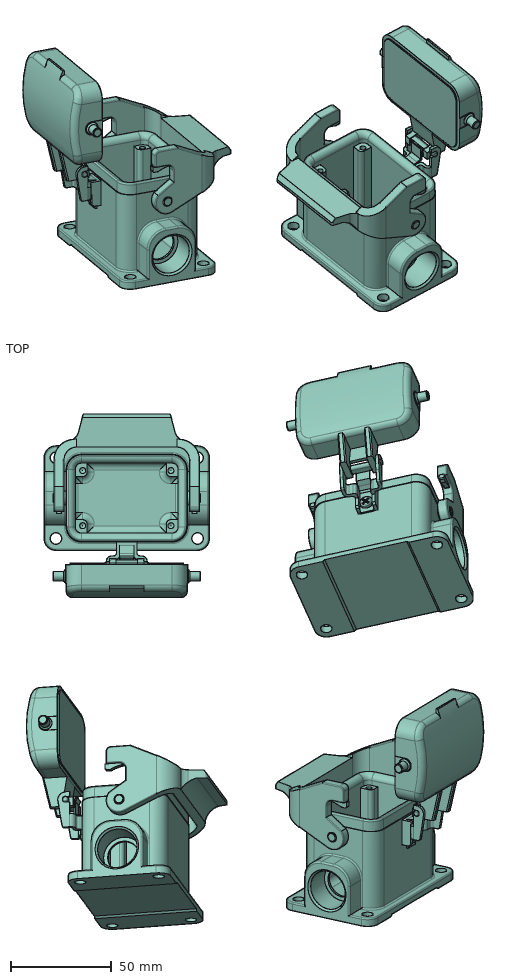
import cadquery as cq
import math

NEARLY_ALL = 0.98
SELECT_MARGIN = 0.1

FLANGE_X, FLANGE_Y, FLANGE_Z = 82.0, 51.9, 4.3
FLANGE_CORNER = 6.0
FLANGE_EDGE = 0.7
RELIEF_TOP, RELIEF_BASE, RELIEF_Z = 42.6, 44.8, 1.0
MOUNT_X, MOUNT_Y, MOUNT_DIA = 35.1, 20.0, 5.6

BODY_X, BODY_Y, BODY_TOP = 60.1, 43.5, 45.7
BODY_CORNER = 7.7
RIM_INSET = 0.3
RIM_TOP = 51.6
RIM_OUTER_EDGE, RIM_INNER_EDGE = 0.8, 3.3

CAVITY_X, CAVITY_Y = 50.9, 34.6
CAVITY_CORNER = 3.1
CAVITY_FLOOR = 4.4
FLOOR_ROUND, END_WALL_ROUND = 3.5, 1.2

POST_HOLE_X, POST_HOLE_Y = 21.9, 13.7
POST_X, POST_Y = 5.8, 6.7
POST_CORNER = 2.2
POST_TOP = BODY_TOP
POST_HOLE_DIA, POST_HOLE_DEPTH = 3.0, 6.6
POST_HOLE_POINT = 0.9

PORT_HALF_WIDTH, PORT_TOP, PORT_CORNER = 13.2, 29.3, 9.8
PORT_EDGE = 0.9
PORT_AXIS_Z, PORT_LEDGE = 14.6, 1.3
PORT_CHAMFER_DIA, PORT_BORE_DIA, CABLE_BORE_DIA = 22.1, 20.0, 16.0
WALL_FILLET = 0.8

PIVOT_Z = 41.5
PIVOT_DIA, PIVOT_TIP_DIA, PIVOT_SEAT_DIA = 5.0, 4.0, 7.0
PIVOT_TIP_X = 36.5
LEVER_INNER_X, LEVER_OUTER_X = 31.0, 36.1
LEVER_INNER_Y, LEVER_OUTER_Y = 25.2, 29.2
LEVER_BEND, LEVER_INNER_BEND = 10.3, 6.1
LEVER_END_RADIUS = 6.7
LEVER_END_ANGLE = 142.0
LEVER_TOP, LEVER_CREST_Y = 69.4, 5.7
HOOK_END_Y, HOOK_CORNER, HOOK_UNDERSIDE = -6.7, 2.3, 60.9
THROAT_Y, THROAT_RADIUS, THROAT_BOTTOM = 3.3, 3.5, 51.4
CATCH_BOTTOM, CATCH_TIP_Y, CATCH_TIP_CHAMFER = 57.9, -7.5, 0.5
CATCH_ROOT_Y, CATCH_ROOT_Z = 1.6, 60.0
CATCH_CURVE = [(-1.6, 59.2), (-4.7, CATCH_BOTTOM)]
LEVER_EDGE = 0.4
BACK_WALL_FLAT_X = 24.9
HANDLE_TOP, HANDLE_BOTTOM, HANDLE_ROOT_Z = 58.4, 54.1, 47.5
HANDLE_TIP_Y, HANDLE_TIP_Z, HANDLE_TOP_END_Y = 41.7, 55.7, 39.9
HANDLE_ROOT_X, HANDLE_TIP_X, HANDLE_TIP_CORNER = 30.1, 21.6, 1.1
HANDLE_FLARE_Y = 27.7
HANDLE_FLARE_CURVE = [(26.0, 29.5), (24.0, 32.2)]
HANDLE_UNDERSIDE_CURVE = [(32.0, 51.7), (36.6, HANDLE_BOTTOM)]
CATCH_INNER_X, CATCH_OUTER_X = 32.3, 34.8

COVER_X, COVER_BOTTOM, COVER_TOP = 60.1, 64.7, 107.1
COVER_CORNER = 7.7
COVER_BACK, COVER_RIM, COVER_FRONT = -32.9, -45.4, -49.3
COVER_EDGE = 3.3
SEAL_LIP_Y, SEAL_LIP_INSET = 0.7, 2.0
TAB_X, TAB_TOP, TAB_BACK = 17.0, 109.3, -43.5
PEG_Y, PEG_Z = -38.7, 85.8
PEG_DIA, PEG_ROOT_DIA, PEG_PAD_WIDTH = 4.8, 6.5, 7.0
PEG_TIP_X, PEG_ROOT_LENGTH, PEG_PAD_HEIGHT = 36.6, 1.3, 0.3
PEG_CHAMFER = 0.4

HINGE_Y, HINGE_Z, HINGE_PIN_DIA = -33.3, 52.3, 3.0
HINGE_PIN_LENGTH, HINGE_PIN_EDGE = 21.9, 0.4
HINGE_BAR_BACK = -30.6
EAR_INNER_X, EAR_OUTER_X = 5.2, 8.5
EAR_BOTTOM, EAR_BACK = 49.4, -30.0
EAR_TIP_Y, EAR_TOP_Y = -41.7, -46.1
EAR_EDGE = 0.7
WEB_BOTTOM, WEB_FOOT_Y, WEB_THICKNESS = 54.5, -34.6, 1.6

SHEET = 1.6
BRACKET_BACK = -BODY_Y / 2
NECK_HALF_WIDTH = 5.1
SHOULDER_BACK, ARM_BACK = -28.6, -31.4
BRACKET_TOP, ARM_BOTTOM, CHEEK_BOTTOM = 44.8, 37.9, 31.6
CHEEK_FRONT, CHEEK_CHAMFER = -26.8, 1.1
ARM_HEAD_RADIUS = 3.9
ARM_WAIST_Y, ARM_TOE_Y, ARM_TOE_RADIUS = -36.2, -35.0, 1.0
SPRING_WIDTH, SPRING_THICKNESS = 7.0, 0.9
SPRING_BOTTOM, SPRING_SHELF_Y = 29.6, -27.5
SPRING_KNEE_Z, SPRING_TIP_Y, SPRING_TIP_Z = 53.1, -28.7, 55.1
SCREW_Z, SCREW_HEAD_DIA, SCREW_HEAD_HEIGHT = 35.2, 6.5, 2.0
SCREW_HEAD_EDGE = 0.7
SCREW_SLOT_LENGTH, SCREW_SLOT_WIDTH, SCREW_SLOT_DEPTH = 4.0, 0.9, 1.1


def rounded_block(size_x, size_y, bottom, top, corner):
    """An upright block centred on the Z axis, with rounded vertical edges."""
    block = cq.Workplane("XY").workplane(offset=bottom).rect(size_x, size_y).extrude(top - bottom)
    return block.edges("|Z").fillet(corner)


def extrude_x(outline, x_start, x_end):
    """Extrude a closed YZ outline between two X positions."""
    return outline.extrude(x_end - x_start).translate((x_start, 0, 0))


def cylinder_x(diameter, x_start, x_end, y, z):
    return extrude_x(cq.Workplane("YZ").center(y, z).circle(diameter / 2), x_start, x_end)


def box_between(x_range, y_range, z_range):
    spans = [end - start for start, end in (x_range, y_range, z_range)]
    corner = (x_range[0], y_range[0], z_range[0])
    return cq.Workplane("XY").box(*spans, centered=False).translate(corner)


def edges_inside(size_x, size_y, bottom, top):
    """Selector for the edges that lie wholly in an upright block centred on the Z axis."""
    reach_x, reach_y = size_x / 2 + SELECT_MARGIN, size_y / 2 + SELECT_MARGIN
    low_corner = (-reach_x, -reach_y, bottom - SELECT_MARGIN)
    high_corner = (reach_x, reach_y, top + SELECT_MARGIN)
    return cq.selectors.BoxSelector(low_corner, high_corner, boundingbox=True)


def with_mirror(right_half):
    """Join a feature on the +X side with its mirror image."""
    return right_half.union(right_half.mirror("YZ"))


def make_flange():
    flange = rounded_block(FLANGE_X, FLANGE_Y, 0, FLANGE_Z, FLANGE_CORNER)
    flange = flange.faces(">Z").edges().fillet(FLANGE_EDGE)
    mount_holes = (
        cq.Workplane("XY")
        .rect(2 * MOUNT_X, 2 * MOUNT_Y, forConstruction=True)
        .vertices()
        .circle(MOUNT_DIA / 2)
        .extrude(FLANGE_Z)
    )
    return flange.cut(mount_holes)


def make_base_relief():
    """The shallow clearance under the middle of the base, running from front to back."""
    return (
        cq.Workplane("XZ")
        .polyline([
            (-RELIEF_BASE / 2, 0),
            (RELIEF_BASE / 2, 0),
            (RELIEF_TOP / 2, RELIEF_Z),
            (-RELIEF_TOP / 2, RELIEF_Z),
        ])
        .close()
        .extrude(FLANGE_Y, both=True)
    )


def make_port():
    """The arched cable port on the +X side."""
    port = (
        cq.Workplane("YZ")
        .center(0, PORT_TOP / 2)
        .rect(2 * PORT_HALF_WIDTH, PORT_TOP)
        .extrude(FLANGE_X / 2)
        .edges("|X and >Z")
        .fillet(PORT_CORNER)
    )
    return port.faces(">X").edges("not <Z").fillet(PORT_EDGE)


def make_port_bore():
    face_x = FLANGE_X / 2
    bore = cylinder_x(PORT_BORE_DIA, CAVITY_X / 2 + PORT_LEDGE, face_x, 0, PORT_AXIS_Z)
    chamfer = (PORT_CHAMFER_DIA - PORT_BORE_DIA) / 2
    mouth = cylinder_x(PORT_CHAMFER_DIA, face_x - chamfer, face_x, 0, PORT_AXIS_Z)
    return bore.union(mouth.faces("<X").chamfer(chamfer * NEARLY_ALL))


def make_cavity():
    """The open inside, with the four screw posts left standing in its corners."""
    lower = rounded_block(CAVITY_X, CAVITY_Y, CAVITY_FLOOR, POST_TOP, CAVITY_CORNER)
    for side_x in (-1, 1):
        for side_y in (-1, 1):
            post = (
                cq.Workplane("XY")
                .workplane(offset=CAVITY_FLOOR)
                .center(side_x * CAVITY_X / 2, side_y * CAVITY_Y / 2)
                .rect(2 * POST_X, 2 * POST_Y)
                .extrude(POST_TOP - CAVITY_FLOOR)
                .edges("|Z")
                .fillet(POST_CORNER)
            )
            lower = lower.cut(post)
    lower = lower.faces("<Z").edges().fillet(FLOOR_ROUND)
    end_reach = CAVITY_Y / 2 - POST_Y - FLOOR_ROUND
    between_posts = box_between(
        (-CAVITY_X / 2, CAVITY_X / 2), (-end_reach, end_reach), (CAVITY_FLOOR, POST_TOP)
    )
    lower = lower.union(between_posts.edges("|Y and <Z").fillet(END_WALL_ROUND))
    mouth = rounded_block(CAVITY_X, CAVITY_Y, POST_TOP, RIM_TOP, CAVITY_CORNER)
    post_holes = (
        cq.Workplane("XY")
        .workplane(offset=POST_TOP - POST_HOLE_DEPTH)
        .rect(2 * POST_HOLE_X, 2 * POST_HOLE_Y, forConstruction=True)
        .vertices()
        .circle(POST_HOLE_DIA / 2)
        .extrude(POST_HOLE_DEPTH)
        .faces("<Z")
        .chamfer(POST_HOLE_POINT, POST_HOLE_DIA / 2 * NEARLY_ALL)
    )
    return lower.union(mouth).union(post_holes)


def make_pivot():
    """The stepped pin on the +X wall that the lever turns on."""
    seat = cylinder_x(PIVOT_SEAT_DIA, BODY_X / 2 - SHEET, LEVER_INNER_X, 0, PIVOT_Z)
    pin = cylinder_x(PIVOT_DIA, LEVER_INNER_X, PIVOT_TIP_X, 0, PIVOT_Z)
    return seat.union(pin.faces(">X").chamfer((PIVOT_DIA - PIVOT_TIP_DIA) / 2))


def make_bracket_sheet():
    """The bent hinge bracket: a channel on the wall that opens out into two arms."""
    neck_inner = NECK_HALF_WIDTH - SHEET
    arm_outer = EAR_OUTER_X + SHEET
    arm_bend = SHOULDER_BACK - ARM_BACK
    shoulder_front = SHOULDER_BACK - SHEET
    strap = (
        cq.Workplane("XY")
        .workplane(offset=ARM_BOTTOM)
        .moveTo(0, BRACKET_BACK)
        .lineTo(NECK_HALF_WIDTH, BRACKET_BACK)
        .lineTo(NECK_HALF_WIDTH, SHOULDER_BACK + SHEET)
        .radiusArc((NECK_HALF_WIDTH + SHEET, SHOULDER_BACK), -SHEET)
        .lineTo(arm_outer - arm_bend, SHOULDER_BACK)
        .radiusArc((arm_outer, ARM_BACK), arm_bend)
        .lineTo(EAR_OUTER_X, ARM_BACK)
        .radiusArc((arm_outer - arm_bend, shoulder_front), SHEET - arm_bend)
        .lineTo(NECK_HALF_WIDTH, shoulder_front)
        .radiusArc((neck_inner, SHOULDER_BACK), SHEET)
        .lineTo(neck_inner, BRACKET_BACK - SHEET)
        .lineTo(0, BRACKET_BACK - SHEET)
        .close()
        .extrude(BRACKET_TOP - ARM_BOTTOM)
    )
    plate = box_between(
        (0, NECK_HALF_WIDTH), (BRACKET_BACK - SHEET, BRACKET_BACK), (CHEEK_BOTTOM, BRACKET_TOP)
    )
    cheek = box_between(
        (neck_inner, NECK_HALF_WIDTH), (CHEEK_FRONT, BRACKET_BACK), (CHEEK_BOTTOM, BRACKET_TOP)
    )
    cheek = cheek.edges("|X and <Y and <Z").chamfer(CHEEK_CHAMFER)
    return with_mirror(strap.union(plate).union(cheek).union(make_arm()))


def make_arm():
    """The +X arm, with a slot open to the back for the hinge pin."""
    head_front = HINGE_Y - ARM_HEAD_RADIUS
    head_top = HINGE_Z + ARM_HEAD_RADIUS
    outline = (
        cq.Workplane("YZ")
        .moveTo(ARM_BACK, ARM_BOTTOM)
        .lineTo(ARM_BACK, head_top)
        .lineTo(HINGE_Y, head_top)
        .radiusArc((head_front, HINGE_Z), -ARM_HEAD_RADIUS)
        .lineTo(ARM_WAIST_Y, BRACKET_TOP)
        .lineTo(ARM_TOE_Y, ARM_BOTTOM)
        .close()
    )
    arm = extrude_x(outline, EAR_OUTER_X, EAR_OUTER_X + SHEET)
    arm = arm.edges("|X").edges("<Z").edges("<Y").fillet(ARM_TOE_RADIUS)
    slot = box_between(
        (EAR_OUTER_X, EAR_OUTER_X + SHEET),
        (HINGE_Y, ARM_BACK),
        (HINGE_Z - HINGE_PIN_DIA / 2, HINGE_Z + HINGE_PIN_DIA / 2),
    )
    pin_seat = cylinder_x(HINGE_PIN_DIA, EAR_OUTER_X, EAR_OUTER_X + SHEET, HINGE_Y, HINGE_Z)
    return arm.cut(slot).cut(pin_seat)


def make_spring():
    """The leaf spring under the screw, stepped forward and up behind the hinge."""
    front = BRACKET_BACK - SHEET - SPRING_THICKNESS
    leg_back = HINGE_BAR_BACK + SPRING_THICKNESS
    shelf_top = BRACKET_TOP + SPRING_THICKNESS
    outline = (
        cq.Workplane("YZ")
        .moveTo(BRACKET_BACK - SHEET, SPRING_BOTTOM)
        .lineTo(BRACKET_BACK - SHEET, BRACKET_TOP)
        .lineTo(SPRING_SHELF_Y, shelf_top)
        .lineTo(leg_back, shelf_top + SPRING_THICKNESS)
        .lineTo(leg_back, SPRING_KNEE_Z)
        .lineTo(SPRING_TIP_Y, SPRING_TIP_Z)
        .lineTo(SPRING_TIP_Y - SPRING_THICKNESS, SPRING_TIP_Z)
        .lineTo(HINGE_BAR_BACK, SPRING_KNEE_Z)
        .lineTo(HINGE_BAR_BACK, shelf_top)
        .lineTo(SPRING_SHELF_Y, BRACKET_TOP)
        .lineTo(front - SPRING_THICKNESS, BRACKET_TOP - SPRING_THICKNESS)
        .lineTo(front, BRACKET_TOP - 2 * SPRING_THICKNESS)
        .lineTo(front, SPRING_BOTTOM)
        .close()
    )
    return extrude_x(outline, -SPRING_WIDTH / 2, SPRING_WIDTH / 2)


def make_screw_head():
    base_y = BRACKET_BACK - SHEET - SPRING_THICKNESS
    face_y = base_y - SCREW_HEAD_HEIGHT
    head = (
        cq.Workplane("XZ", origin=(0, base_y, SCREW_Z))
        .circle(SCREW_HEAD_DIA / 2)
        .extrude(SCREW_HEAD_HEIGHT)
        .faces("<Y")
        .edges()
        .fillet(SCREW_HEAD_EDGE)
    )
    for angle in (45, 135):
        slot = (
            cq.Workplane("XZ", origin=(0, face_y + SCREW_SLOT_DEPTH, SCREW_Z))
            .transformed(rotate=(0, 0, angle))
            .rect(SCREW_SLOT_LENGTH, SCREW_SLOT_WIDTH)
            .extrude(SCREW_SLOT_DEPTH)
        )
        head = head.cut(slot)
    return head


def fillet_wall_roots(base):
    """Round the corners where the walls meet the flange and where the ports meet the walls."""
    around_body = edges_inside(BODY_X, BODY_Y, FLANGE_Z, PORT_TOP)
    return base.edges(around_body).fillet(WALL_FILLET)


def make_housing():
    body = rounded_block(BODY_X, BODY_Y, 0, BODY_TOP, BODY_CORNER)
    walls = body.union(with_mirror(make_port()))
    rim = rounded_block(
        BODY_X - 2 * RIM_INSET, BODY_Y - 2 * RIM_INSET, BODY_TOP, RIM_TOP, BODY_CORNER - RIM_INSET
    )
    rim = rim.faces(">Z").edges().fillet(RIM_OUTER_EDGE)
    rim = rim.cut(rounded_block(CAVITY_X, CAVITY_Y, BODY_TOP, RIM_TOP, CAVITY_CORNER))
    rim = rim.edges(edges_inside(CAVITY_X, CAVITY_Y, RIM_TOP, RIM_TOP)).fillet(RIM_INNER_EDGE)
    base = fillet_wall_roots(make_flange().union(walls))
    housing = base.union(rim).cut(make_base_relief()).cut(make_cavity())
    housing = housing.cut(with_mirror(make_port_bore()))
    housing = housing.cut(cylinder_x(CABLE_BORE_DIA, -FLANGE_X / 2, FLANGE_X / 2, 0, PORT_AXIS_Z))
    housing = housing.union(with_mirror(make_pivot()))
    return housing.union(make_bracket_sheet()).union(make_spring()).union(make_screw_head())


def make_lever_side_outline():
    """The side shape of the lever, from its tail to the hooked end and the round pivot end."""
    tail_distance = math.hypot(LEVER_OUTER_Y, HANDLE_ROOT_Z - PIVOT_Z)
    tail_angle = math.atan2(HANDLE_ROOT_Z - PIVOT_Z, LEVER_OUTER_Y)
    tangent_angle = tail_angle - math.acos(LEVER_END_RADIUS / tail_distance)
    upper_angle = math.radians(LEVER_END_ANGLE)
    middle_angle = (upper_angle + tangent_angle + 2 * math.pi) / 2

    def on_end(angle):
        return (LEVER_END_RADIUS * math.cos(angle), PIVOT_Z + LEVER_END_RADIUS * math.sin(angle))

    return (
        cq.Workplane("YZ")
        .moveTo(LEVER_OUTER_Y, HANDLE_ROOT_Z)
        .lineTo(LEVER_OUTER_Y, HANDLE_TOP)
        .lineTo(LEVER_CREST_Y, LEVER_TOP)
        .lineTo(HOOK_END_Y + HOOK_CORNER, LEVER_TOP)
        .radiusArc((HOOK_END_Y, LEVER_TOP - HOOK_CORNER), -HOOK_CORNER)
        .lineTo(HOOK_END_Y, HOOK_UNDERSIDE)
        .lineTo(THROAT_Y - THROAT_RADIUS, HOOK_UNDERSIDE)
        .radiusArc((THROAT_Y, HOOK_UNDERSIDE - THROAT_RADIUS), THROAT_RADIUS)
        .lineTo(THROAT_Y, THROAT_BOTTOM)
        .lineTo(*on_end(upper_angle))
        .threePointArc(on_end(middle_angle), on_end(tangent_angle))
        .close()
    )


def make_lever():
    plan = rounded_block(
        2 * LEVER_OUTER_X, 2 * LEVER_OUTER_Y, 0, LEVER_TOP, LEVER_BEND
    )
    inside = rounded_block(
        2 * LEVER_INNER_X, 2 * LEVER_INNER_Y, 0, LEVER_TOP, LEVER_INNER_BEND
    )
    bend_start = LEVER_OUTER_Y - LEVER_BEND
    all_x, all_z = (-LEVER_OUTER_X, LEVER_OUTER_X), (0, LEVER_TOP)
    side_space = box_between(all_x, (-LEVER_OUTER_Y, bend_start), all_z)
    bend_space = box_between(all_x, (bend_start, LEVER_OUTER_Y), all_z)
    side = extrude_x(make_lever_side_outline(), LEVER_INNER_X, LEVER_OUTER_X)
    side = side.faces("<X or >X").edges().fillet(LEVER_EDGE)
    yoke = extrude_x(make_lever_side_outline(), *all_x).intersect(plan).cut(inside)
    above_back_wall = box_between(
        (-BACK_WALL_FLAT_X, BACK_WALL_FLAT_X), (bend_start, LEVER_OUTER_Y), (HANDLE_TOP, LEVER_TOP)
    )
    yoke = yoke.intersect(bend_space).cut(above_back_wall)
    lever = yoke.union(with_mirror(side.intersect(side_space)))
    lever = lever.union(make_handle().cut(inside)).union(with_mirror(make_catch()))
    hole = cylinder_x(PIVOT_DIA, -LEVER_OUTER_X, LEVER_OUTER_X, 0, PIVOT_Z)
    return lever.cut(hole)


def make_handle():
    profile = (
        cq.Workplane("YZ")
        .moveTo(LEVER_INNER_Y, HANDLE_ROOT_Z)
        .lineTo(LEVER_OUTER_Y, HANDLE_ROOT_Z)
        .threePointArc(*HANDLE_UNDERSIDE_CURVE)
        .lineTo(HANDLE_TIP_Y, HANDLE_BOTTOM)
        .lineTo(HANDLE_TIP_Y, HANDLE_TIP_Z)
        .lineTo(HANDLE_TOP_END_Y, HANDLE_TOP)
        .lineTo(LEVER_INNER_Y, HANDLE_TOP)
        .close()
    )
    plan = (
        cq.Workplane("XY")
        .moveTo(0, LEVER_INNER_Y)
        .lineTo(HANDLE_ROOT_X, LEVER_INNER_Y)
        .lineTo(HANDLE_ROOT_X, HANDLE_FLARE_Y)
        .threePointArc(*HANDLE_FLARE_CURVE)
        .lineTo(HANDLE_TIP_X, HANDLE_TIP_Y)
        .lineTo(0, HANDLE_TIP_Y)
        .close()
        .extrude(LEVER_TOP)
    )
    half_plan = plan.edges("|Z").edges(">Y").edges(">X").fillet(HANDLE_TIP_CORNER)
    return extrude_x(profile, -LEVER_OUTER_X, LEVER_OUTER_X).intersect(with_mirror(half_plan))


def make_catch():
    """The narrow catch under the hooked end of the +X side."""
    outline = (
        cq.Workplane("YZ")
        .moveTo(CATCH_ROOT_Y, HOOK_UNDERSIDE)
        .lineTo(CATCH_ROOT_Y, CATCH_ROOT_Z)
        .threePointArc(*CATCH_CURVE)
        .lineTo(CATCH_TIP_Y + CATCH_TIP_CHAMFER, CATCH_BOTTOM)
        .lineTo(CATCH_TIP_Y, CATCH_BOTTOM + CATCH_TIP_CHAMFER)
        .lineTo(CATCH_TIP_Y, HOOK_UNDERSIDE)
        .close()
    )
    return extrude_x(outline, CATCH_INNER_X, CATCH_OUTER_X)


def make_cover_shell():
    height = COVER_TOP - COVER_BOTTOM
    centre_z = (COVER_TOP + COVER_BOTTOM) / 2
    depth = COVER_BACK - COVER_FRONT
    block = (
        cq.Workplane("XZ", origin=(0, COVER_BACK, centre_z))
        .rect(COVER_X, height)
        .extrude(depth)
        .edges("|Y")
        .fillet(COVER_CORNER)
    )
    rise = COVER_RIM - COVER_FRONT
    dome_radius = (rise**2 + (height / 2) ** 2) / (2 * rise)
    dome = cylinder_x(2 * dome_radius, -COVER_X, COVER_X, COVER_FRONT + dome_radius, centre_z)
    tab = box_between((-TAB_X / 2, TAB_X / 2), (COVER_FRONT, TAB_BACK), (centre_z, TAB_TOP))
    shell = block.intersect(dome)
    shell = shell.faces("<Y").edges().fillet(COVER_EDGE)
    lip = (
        cq.Workplane("XZ", origin=(0, COVER_BACK + SEAL_LIP_Y, centre_z))
        .rect(COVER_X - 2 * SEAL_LIP_INSET, height - 2 * SEAL_LIP_INSET)
        .extrude(SEAL_LIP_Y)
        .edges("|Y")
        .fillet(COVER_CORNER - SEAL_LIP_INSET)
    )
    return shell.union(tab.intersect(dome)).union(lip)


def make_peg():
    """The locking peg on the +X side, on its cone and flat pad."""
    side_x = COVER_X / 2
    pad_x = side_x + PEG_PAD_HEIGHT
    pad = cylinder_x(PEG_PAD_WIDTH, side_x - SHEET, pad_x, PEG_Y, PEG_Z)
    pad = pad.union(box_between(
        (side_x - SHEET, pad_x),
        (PEG_Y, COVER_BACK),
        (PEG_Z - PEG_PAD_WIDTH / 2, PEG_Z + PEG_PAD_WIDTH / 2),
    ))
    root = cylinder_x(PEG_ROOT_DIA, side_x, side_x + PEG_ROOT_LENGTH, PEG_Y, PEG_Z)
    root = root.faces(">X").chamfer((PEG_ROOT_DIA - PEG_DIA) / 2)
    peg = cylinder_x(PEG_DIA, side_x, PEG_TIP_X, PEG_Y, PEG_Z).faces(">X").chamfer(PEG_CHAMFER)
    return pad.union(root).union(peg)


def make_ear():
    """The +X hinge ear under the cover."""
    outline = (
        cq.Workplane("YZ")
        .moveTo(COVER_BACK, COVER_BOTTOM + COVER_EDGE)
        .lineTo(COVER_BACK, COVER_BOTTOM)
        .lineTo(WEB_FOOT_Y, WEB_BOTTOM)
        .lineTo(EAR_BACK, HINGE_Z + HINGE_PIN_DIA / 2)
        .lineTo(EAR_BACK, EAR_BOTTOM)
        .lineTo(EAR_TIP_Y, EAR_BOTTOM)
        .lineTo(EAR_TOP_Y, COVER_BOTTOM + COVER_EDGE)
        .close()
    )
    ear = extrude_x(outline, EAR_INNER_X, EAR_OUTER_X)
    return ear.faces("<Y").edges("|Z or >X or <X").chamfer(EAR_EDGE)


def make_hinge_web():
    outline = (
        cq.Workplane("YZ")
        .moveTo(COVER_BACK, COVER_BOTTOM + COVER_EDGE)
        .lineTo(COVER_BACK, COVER_BOTTOM)
        .lineTo(WEB_FOOT_Y, WEB_BOTTOM)
        .lineTo(WEB_FOOT_Y - WEB_THICKNESS, WEB_BOTTOM)
        .lineTo(COVER_BACK - WEB_THICKNESS, COVER_BOTTOM)
        .lineTo(COVER_BACK - WEB_THICKNESS, COVER_BOTTOM + COVER_EDGE)
        .close()
    )
    return extrude_x(outline, -EAR_OUTER_X, EAR_OUTER_X)


def make_hinge_pin():
    half = HINGE_PIN_LENGTH / 2
    pin = cylinder_x(HINGE_PIN_DIA, -half, half, HINGE_Y, HINGE_Z)
    bar = box_between(
        (-EAR_INNER_X, EAR_INNER_X),
        (HINGE_Y, HINGE_BAR_BACK),
        (HINGE_Z - HINGE_PIN_DIA / 2, HINGE_Z + HINGE_PIN_DIA / 2),
    )
    return pin.faces("<X or >X").edges().fillet(HINGE_PIN_EDGE).union(bar)


def make_cover():
    cover = make_cover_shell().union(with_mirror(make_peg())).union(with_mirror(make_ear()))
    return cover.union(make_hinge_web()).union(make_hinge_pin())


housing = make_housing()
lever = make_lever()
cover = make_cover()
result = cq.Compound.makeCompound([housing.val(), lever.val(), cover.val()])